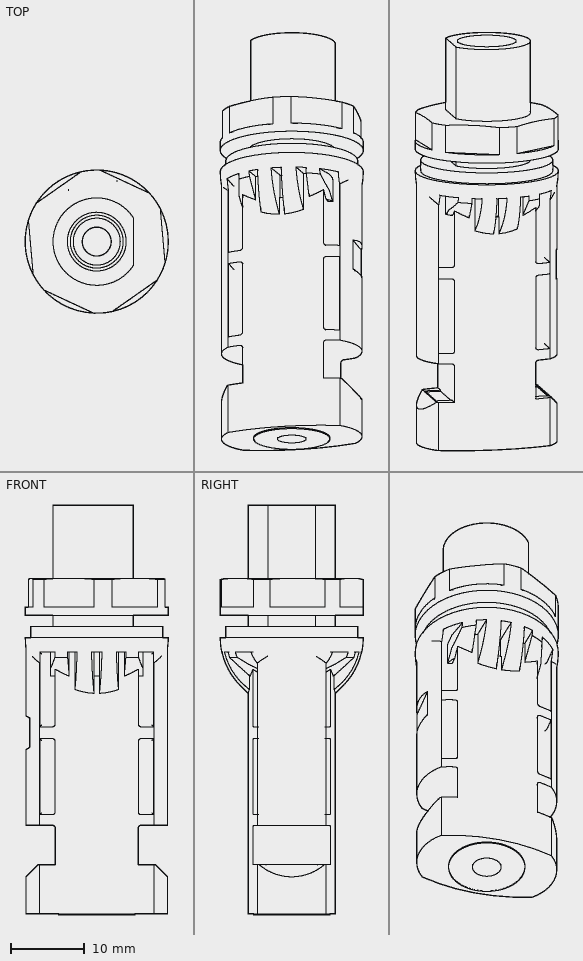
import cadquery as cq
import math

TOTAL_HEIGHT = 55.75
NUT_TOP = 45.8
NUT_FLATS_BOTTOM = 41.9
NUT_BOTTOM = 40.75
COLLAR_TOP = 39.25
BELL_TOP = 37.75
SKIRT_TOP = 35.75
FOOT_BOTTOM = 0.15

NUT_RADIUS = 9.75
NUT_ACROSS_FLATS = 18.0
NUT_TURN = 5.0
NUT_CHAMFER_RADIUS = 9.05
NUT_CHAMFER_HEIGHT = 0.15
COLLAR_RADIUS = 9.0
TUBE_RADIUS = 5.95
TUBE_FLAT_X = 5.0
FOOT_BOSS_RADIUS = 5.2
BELL_RADIUS = NUT_RADIUS
BELL_CURVE_RADIUS = 9.2

CABLE_BORE_RADIUS = 4.0
THROUGH_BORE_RADIUS = 1.95
CABLE_BORE_BOTTOM = BELL_TOP
UPPER_CONE_RADIUS = 3.6
MIDDLE_CONE_RADIUS = 3.2
LOWER_CONE_RADIUS = 2.6
UPPER_CONE_HEIGHT = 0.6
MIDDLE_CONE_HEIGHT = 0.2
LOWER_CONE_HEIGHT = 1.0

BODY_HALF_LENGTH = 9.65
BODY_HALF_WIDTH = TUBE_RADIUS
CORNER_X = 7.8
CORNER_Y = 4.65

NOTCH_X = 5.65
NOTCH_BOTTOM = 6.85
NOTCH_TOP = 12.2
FOOT_CHAMFER_X = 8.0
CORNER_FILLET = 0.4
SHOULDER_POCKET_OUTER_X = 7.85
SHOULDER_POCKET_HALF_WIDTH = 3.5
SHOULDER_POCKET_DEPTH = 0.15

WINDOW_OUTER_X = 7.75
WINDOW_FLOOR_Y = 2.5
WINDOW_FLOOR_FILLET = 0.3
WINDOW_SPANS = ((13.65, 24.0), (25.6, SKIRT_TOP))

SLOT_OFFSET = 3.35
SIDE_SLOT_OUTER_HALF = 0.72
SIDE_SLOT_INNER_HALF = 0.4
MIDDLE_SLOT_OUTER_HALF = 0.73
MIDDLE_SLOT_INNER_HALF = 0.37
OUTER_FIN_ROOT_X = 6.3
OUTER_FIN_TIP_Y = 7.6
OUTER_FIN_ROOT_Y = CORNER_Y
FIN_CONE_APEX = 25.7
MIDDLE_POCKET_BOTTOM = 32.5
OUTER_FIN_BOTTOM = MIDDLE_POCKET_BOTTOM
MIDDLE_POCKET_FLOOR_Y = 5.5

RECESS_X = 9.13
RECESS_BOTTOM = 22.8
RECESS_TOP = 26.8
RECESS_FLARE = 0.3

CUT_REACH = 12.0


def cylinder(radius, bottom, top):
    return cq.Workplane("XY").workplane(offset=bottom).circle(radius).extrude(top - bottom)


def block(x_min, x_max, y_min, y_max, z_min, z_max):
    size = (x_max - x_min, y_max - y_min, z_max - z_min)
    return cq.Workplane("XY").box(*size, centered=False).translate((x_min, y_min, z_min))


def both_sides(shape, plane):
    return shape.union(shape.mirror(plane))


def body_prism(bottom, top):
    outline = (
        cq.Workplane("XY").workplane(offset=bottom)
        .moveTo(-CORNER_X, -CORNER_Y)
        .threePointArc((0, -BODY_HALF_WIDTH), (CORNER_X, -CORNER_Y))
        .threePointArc((BODY_HALF_LENGTH, 0), (CORNER_X, CORNER_Y))
        .threePointArc((0, BODY_HALF_WIDTH), (-CORNER_X, CORNER_Y))
        .threePointArc((-BODY_HALF_LENGTH, 0), (-CORNER_X, -CORNER_Y))
        .close()
    )
    return outline.extrude(top - bottom)


def bell():
    """Turned collar that curves inward and ends in a 45 degree cone."""
    def on_curve(angle):
        drop = BELL_CURVE_RADIUS * math.sin(angle)
        inset = BELL_CURVE_RADIUS * (1 - math.cos(angle))
        return BELL_RADIUS - inset, BELL_TOP - drop

    curve_middle = on_curve(math.pi / 8)
    curve_end = on_curve(math.pi / 4)
    return (
        cq.Workplane("XZ")
        .moveTo(0, BELL_TOP)
        .lineTo(BELL_RADIUS, BELL_TOP)
        .threePointArc(curve_middle, curve_end)
        .lineTo(0, curve_end[1] - curve_end[0])
        .close()
        .revolve(360, (0, 0, 0), (0, 1, 0))
    )


def tapered_slot(center_x, outer_half, inner_half):
    """Cutter for a skirt slot on the -Y side, narrowing toward the body."""
    return (
        cq.Workplane("XY")
        .polyline([
            (center_x - outer_half, -BELL_RADIUS),
            (center_x + outer_half, -BELL_RADIUS),
            (center_x + inner_half, -BODY_HALF_WIDTH),
            (center_x + inner_half, 0),
            (center_x - inner_half, 0),
            (center_x - inner_half, -BODY_HALF_WIDTH),
        ])
        .close()
        .extrude(SKIRT_TOP)
    )


def fin_undercut():
    """Cutter removing what lies below a 45 degree cone, for the outer fins."""
    cone = (
        cq.Workplane("XZ")
        .polyline([(0, FIN_CONE_APEX), (CUT_REACH, FIN_CONE_APEX + CUT_REACH), (CUT_REACH, 0), (0, 0)])
        .close()
        .revolve(360, (0, 0, 0), (0, 1, 0))
    )
    return cone.intersect(
        block(SLOT_OFFSET, WINDOW_OUTER_X, -CUT_REACH, CUT_REACH, 0, SKIRT_TOP)
    )


def finned_skirt():
    skirt = bell()
    side_slot = tapered_slot(SLOT_OFFSET, SIDE_SLOT_OUTER_HALF, SIDE_SLOT_INNER_HALF)
    window_gap = block(NOTCH_X, WINDOW_OUTER_X, -CUT_REACH, 0, 0, SKIRT_TOP)
    cutters = both_sides(both_sides(side_slot.union(window_gap), "YZ"), "XZ")
    middle_slot = tapered_slot(0, MIDDLE_SLOT_OUTER_HALF, MIDDLE_SLOT_INNER_HALF)
    skirt = skirt.cut(cutters).cut(both_sides(middle_slot, "XZ"))
    return skirt.cut(both_sides(fin_undercut(), "YZ"))


def windows():
    """Cutters for the window column at +X on the -Y side."""
    cutters = cq.Workplane("XY")
    for bottom, top in WINDOW_SPANS:
        window = block(NOTCH_X, WINDOW_OUTER_X, -CUT_REACH, -WINDOW_FLOOR_Y, bottom, top)
        window = window.edges("|Y and <X").fillet(CORNER_FILLET)
        window = window.faces(">Y").edges().fillet(WINDOW_FLOOR_FILLET)
        cutters = cutters.add(window)
    return cutters.combine()


def outer_fin_root():
    """Wedge that carries the outer fin down into the upper window."""
    wedge = (
        cq.Workplane("XY")
        .polyline([
            (NOTCH_X, -OUTER_FIN_TIP_Y),
            (OUTER_FIN_ROOT_X, -OUTER_FIN_ROOT_Y),
            (OUTER_FIN_ROOT_X, -WINDOW_FLOOR_Y),
            (NOTCH_X, -WINDOW_FLOOR_Y),
        ])
        .close()
        .extrude(SKIRT_TOP)
    )
    above = block(0, CUT_REACH, -CUT_REACH, 0, OUTER_FIN_BOTTOM, SKIRT_TOP)
    return wedge.intersect(above).intersect(bell()).cut(fin_undercut())


def side_notch():
    """Cutter for the notch at +X, with the sloped shoulder of the foot below it."""
    slope_drop = CUT_REACH - FOOT_CHAMFER_X
    return (
        cq.Workplane("XZ")
        .polyline([
            (NOTCH_X, NOTCH_BOTTOM),
            (FOOT_CHAMFER_X, NOTCH_BOTTOM),
            (CUT_REACH, NOTCH_BOTTOM - slope_drop),
            (CUT_REACH, NOTCH_TOP),
            (NOTCH_X, NOTCH_TOP),
        ])
        .close()
        .extrude(CUT_REACH, both=True)
        .edges("|Y and <X and >Z")
        .fillet(CORNER_FILLET)
    )


def shoulder_pocket():
    """Cutter for the shallow pocket in the flat top of the foot at +X."""
    return block(
        NOTCH_X, SHOULDER_POCKET_OUTER_X,
        -SHOULDER_POCKET_HALF_WIDTH, SHOULDER_POCKET_HALF_WIDTH,
        NOTCH_BOTTOM - SHOULDER_POCKET_DEPTH, NOTCH_BOTTOM,
    )


def label_recess():
    depth = CUT_REACH - RECESS_X
    flare = RECESS_FLARE * depth / (BODY_HALF_LENGTH - RECESS_X)
    return (
        cq.Workplane("XZ")
        .polyline([
            (-RECESS_X, RECESS_BOTTOM),
            (-RECESS_X, RECESS_TOP),
            (-CUT_REACH, RECESS_TOP + flare),
            (-CUT_REACH, RECESS_BOTTOM - flare),
        ])
        .close()
        .extrude(CUT_REACH, both=True)
    )


def hex_nut():
    nut = (
        cylinder(NUT_RADIUS, NUT_BOTTOM, NUT_TOP)
        .faces(">Z")
        .chamfer(NUT_CHAMFER_HEIGHT, NUT_RADIUS - NUT_CHAMFER_RADIUS)
    )
    hexagon = (
        cq.Workplane("XY").workplane(offset=NUT_FLATS_BOTTOM)
        .polygon(6, NUT_ACROSS_FLATS, circumscribed=True)
        .extrude(NUT_TOP - NUT_FLATS_BOTTOM)
        .rotate((0, 0, 0), (0, 0, 1), NUT_TURN)
    )
    return nut.intersect(hexagon.union(cylinder(CUT_REACH, NUT_BOTTOM, NUT_FLATS_BOTTOM)))


def cable_tube():
    tube = cylinder(TUBE_RADIUS, COLLAR_TOP, TOTAL_HEIGHT)
    return tube.intersect(
        block(-CUT_REACH, TUBE_FLAT_X, -CUT_REACH, CUT_REACH, COLLAR_TOP, TOTAL_HEIGHT)
    )


def stepped_bore():
    upper_cone_bottom = CABLE_BORE_BOTTOM - UPPER_CONE_HEIGHT
    middle_cone_bottom = upper_cone_bottom - MIDDLE_CONE_HEIGHT
    lower_cone_bottom = middle_cone_bottom - LOWER_CONE_HEIGHT
    return (
        cq.Workplane("XZ")
        .polyline([
            (0, TOTAL_HEIGHT),
            (CABLE_BORE_RADIUS, TOTAL_HEIGHT),
            (CABLE_BORE_RADIUS, CABLE_BORE_BOTTOM),
            (UPPER_CONE_RADIUS, upper_cone_bottom),
            (MIDDLE_CONE_RADIUS, middle_cone_bottom),
            (LOWER_CONE_RADIUS, lower_cone_bottom),
            (THROUGH_BORE_RADIUS, lower_cone_bottom - LOWER_CONE_HEIGHT),
            (THROUGH_BORE_RADIUS, 0),
            (0, 0),
        ])
        .close()
        .revolve(360, (0, 0, 0), (0, 1, 0))
    )


body = body_prism(FOOT_BOTTOM, BELL_TOP).union(finned_skirt())
body = body.cut(both_sides(both_sides(windows(), "YZ"), "XZ"))
body = body.union(both_sides(both_sides(outer_fin_root(), "YZ"), "XZ"))
middle_pocket = block(
    -MIDDLE_SLOT_INNER_HALF, MIDDLE_SLOT_INNER_HALF,
    -CUT_REACH, -MIDDLE_POCKET_FLOOR_Y,
    MIDDLE_POCKET_BOTTOM, SKIRT_TOP,
)
body = body.cut(both_sides(middle_pocket, "XZ"))
body = body.cut(both_sides(side_notch().union(shoulder_pocket()), "YZ"))
body = body.cut(label_recess())

result = (
    body
    .union(cylinder(FOOT_BOSS_RADIUS, 0, FOOT_BOTTOM))
    .union(cylinder(COLLAR_RADIUS, BELL_TOP, COLLAR_TOP))
    .union(cable_tube())
    .union(hex_nut())
    .cut(stepped_bore())
)